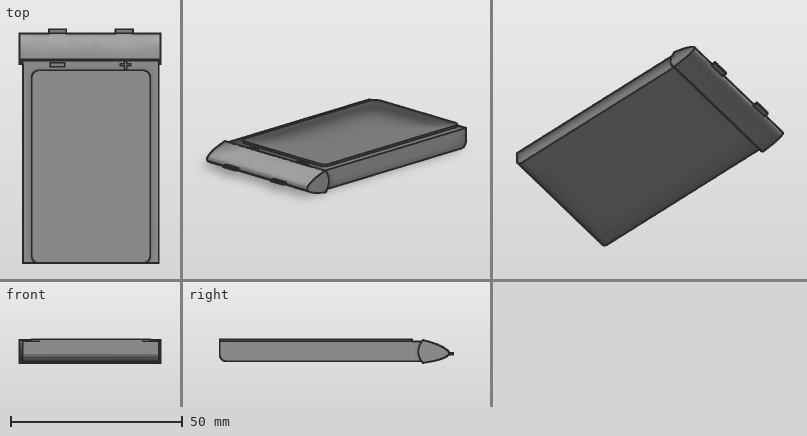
import cadquery as cq

body_width = 39.5
body_bottom = 0.5
body_top = 6.3
end_radius = 2.05

label_width = 34.55
label_length = 56.0
label_top = 6.95
label_radius = 2.2

cap_width = 41.0
cap_offset = -0.3
cap_top_edge = (59.2, 6.7)
cap_bottom_edge = (59.15, 0.0)
cap_bulge = (57.8, 3.4)
cap_nose = (66.8, 2.7)
cap_upper_points = [(64.6, 4.8), (61.35, 6.1)]
cap_lower_points = [(61.75, 0.5), (64.95, 1.35)]

total_length = 68.0
tab_spacing = 19.4
tab_width = 5.1
tab_thickness = 0.55
tab_root = 2.05

mark_depth = 0.15
mark_y = 57.65
minus_x = -9.7
minus_length = 4.15
minus_width = 1.15
plus_x = 10.05
plus_length = 3.1
plus_height = 2.85
plus_bar_width = 0.55
plus_stem_width = 0.8


def block(width, start_y, end_y, bottom, top, center_x=0):
    """Box centred on center_x, given by its limits along Y and Z."""
    box = cq.Workplane("XY").box(width, end_y - start_y, top - bottom, centered=(True, False, False))
    return box.translate((center_x, start_y, bottom))


def make_body():
    """Flat block that runs into the cap, rounded along the lower edge of its plain end."""
    body = block(body_width, 0, cap_top_edge[0], body_bottom, body_top)
    return body.edges("<Y and <Z").fillet(end_radius)


def make_label():
    """Thin panel with rounded corners on the top face."""
    label = block(label_width, 0, label_length, body_top, label_top)
    return label.edges("|Z").fillet(label_radius)


def make_cap():
    """Pointed profile with a blunt nose and a bulging back, extruded across the width."""
    outline = cap_lower_points + [cap_nose] + cap_upper_points + [cap_top_edge]
    profile = (
        cq.Workplane("YZ")
        .moveTo(*cap_bottom_edge)
        .spline(outline, includeCurrent=True)
        .threePointArc(cap_bulge, cap_bottom_edge)
        .close()
    )
    return profile.extrude(cap_width).translate((cap_offset - cap_width / 2, 0, 0))


def make_tab(center_x):
    """Contact tab that starts inside the cap and projects past its nose."""
    bottom = cap_nose[1] - tab_thickness / 2
    return block(tab_width, cap_nose[0] - tab_root, total_length, bottom, bottom + tab_thickness, center_x)


def make_mark(center_x, length_x, length_y):
    """Cutter for one straight bar of a polarity mark."""
    half = length_y / 2
    return block(length_x, mark_y - half, mark_y + half, body_top - mark_depth, body_top, center_x)


minus_mark = make_mark(minus_x, minus_length, minus_width)
plus_mark = make_mark(plus_x, plus_length, plus_bar_width).union(
    make_mark(plus_x, plus_stem_width, plus_height)
)

result = make_body().union(make_label()).cut(minus_mark).cut(plus_mark).union(make_cap())
for side in (-1, 1):
    result = result.union(make_tab(side * tab_spacing / 2))